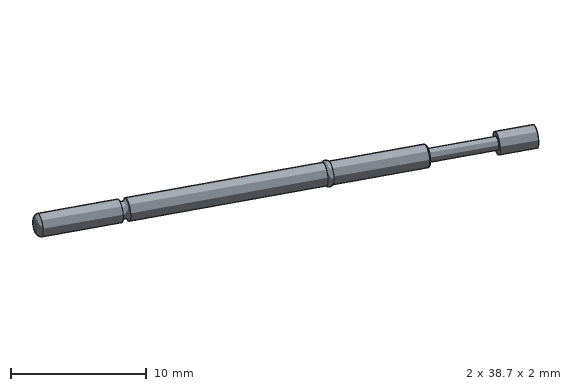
import cadquery as cq

total_length = 38.7
collar_diameter = 2.0
barrel_diameter = 1.78
head_diameter = 1.78
plunger_diameter = 1.05

head_length = 2.98
barrel_start = 8.32
barrel_mouth_bevel = 0.1

collar_start = 15.83
collar_length = 0.45

groove_start = 31.55
groove_width = 0.58
groove_depth = 0.25

tail_flat_diameter = 0.85
tail_rounding_length = 0.4
tail_rounding_bulge = 0.095

head_radius = head_diameter / 2
plunger_radius = plunger_diameter / 2
barrel_radius = barrel_diameter / 2
collar_radius = collar_diameter / 2
tail_flat_radius = tail_flat_diameter / 2
tail_start = total_length - tail_rounding_length


def y_at(distance):
    """Y position at a distance from the head's end face, part centred on Y = 0."""
    return total_length / 2 - distance


def rod(radius, start, end):
    """Round bar on the Y axis between two distances from the head's end face."""
    return (
        cq.Workplane("XZ", origin=(0, y_at(start), 0))
        .circle(radius)
        .extrude(end - start)
    )


def revolve_about_axis(profile):
    """Turn a closed half profile, drawn in the XY plane, about the Y axis."""
    return profile.close().revolve(360, (0, 0, 0), (0, 1, 0))


def make_plunger():
    head = rod(head_radius, 0, head_length)
    stem = rod(plunger_radius, 0, barrel_start + barrel_mouth_bevel)
    return head.union(stem)


def make_barrel():
    """Tube with a bevelled mouth and a closed end rounded by a shallow arc."""
    return revolve_about_axis(
        cq.Workplane("XY")
        .moveTo(0, y_at(total_length))
        .lineTo(tail_flat_radius, y_at(total_length))
        .sagittaArc((barrel_radius, y_at(tail_start)), -tail_rounding_bulge)
        .lineTo(barrel_radius, y_at(barrel_start + barrel_mouth_bevel))
        .lineTo(barrel_radius - barrel_mouth_bevel, y_at(barrel_start))
        .lineTo(0, y_at(barrel_start))
    )


def make_collar():
    """Ring whose outside bulges in an arc from one barrel edge to the other."""
    return revolve_about_axis(
        cq.Workplane("XY")
        .moveTo(0, y_at(collar_start))
        .lineTo(barrel_radius, y_at(collar_start))
        .threePointArc(
            (collar_radius, y_at(collar_start + collar_length / 2)),
            (barrel_radius, y_at(collar_start + collar_length)),
        )
        .lineTo(0, y_at(collar_start + collar_length))
    )


def make_groove_cutter():
    """Ring with a round-bottomed section, to remove from the barrel."""
    return revolve_about_axis(
        cq.Workplane("XY")
        .moveTo(barrel_radius, y_at(groove_start))
        .threePointArc(
            (barrel_radius - groove_depth, y_at(groove_start + groove_width / 2)),
            (barrel_radius, y_at(groove_start + groove_width)),
        )
    )


result = make_plunger().union(make_barrel()).union(make_collar()).cut(make_groove_cutter())